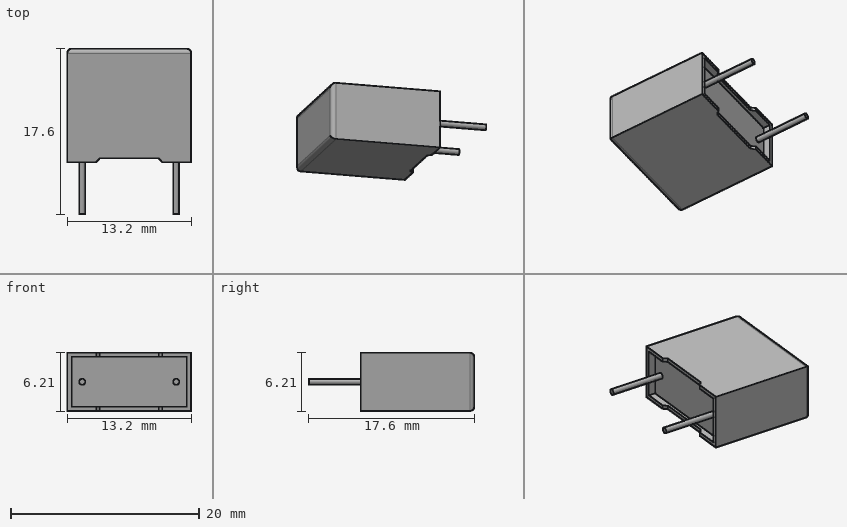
import cadquery as cq


case_width = 13.2
case_height = 6.21
overall_length = 17.6
lead_projection = 5.5
case_length = overall_length - lead_projection
side_wall = 0.5
face_wall = 0.44
back_wall = side_wall
back_edge_radius = 0.5

notch_depth = 0.42
notch_slope_run = 0.37
notch_top_width = 6.27
notch_mouth_width = notch_top_width + 2 * notch_slope_run

potting_recess = 0.8
cavity_width = case_width - 2 * side_wall
cavity_height = case_height - 2 * face_wall
cavity_length = case_length - back_wall

lead_diameter = 0.65
lead_pitch = 10.0


def box_from(start_y, width, length, height):
    """Box centred on X and Z that runs from start_y towards +Y."""
    return cq.Workplane("XY").box(width, length, height, centered=(True, False, True)).translate((0, start_y, 0))


def make_rim_notch():
    """Trapezoid that cuts through both broad walls at the rim."""
    return (
        cq.Workplane("XY")
        .polyline([
            (-notch_mouth_width / 2, 0),
            (-notch_top_width / 2, notch_depth),
            (notch_top_width / 2, notch_depth),
            (notch_mouth_width / 2, 0),
        ])
        .close()
        .extrude(case_height / 2, both=True)
    )


def make_case():
    """Box with a rounded closed end, an open cavity and a notched rim."""
    shell = box_from(0, case_width, case_length, case_height)
    shell = shell.faces(">Y").edges().fillet(back_edge_radius)
    cavity = box_from(0, cavity_width, cavity_length, cavity_height)
    return shell.cut(cavity).cut(make_rim_notch())


def make_potting():
    """Block that fills the cavity behind the recessed face."""
    return box_from(potting_recess, cavity_width, cavity_length - potting_recess, cavity_height)


def make_lead(x):
    """Round lead that stands on the potting face."""
    return (
        cq.Workplane("XZ", origin=(x, potting_recess, 0))
        .circle(lead_diameter / 2)
        .extrude(potting_recess + lead_projection)
    )


case = make_case()
potting = make_potting()
leads = [make_lead(side * lead_pitch / 2) for side in (-1, 1)]

result = cq.Compound.makeCompound([case.val(), potting.val(), *[lead.val() for lead in leads]])